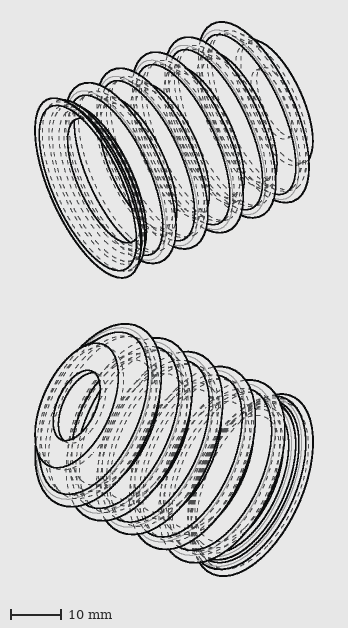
import cadquery as cq
import math

length = 45.0
rim_diameter = 39.0
rim_radius = rim_diameter / 2

ridge_places = [7.8, 15.35, 23.75, 31.55, 39.45]
ridge_radius = 18.4
fold_angle = 42.5
fold_slope = math.tan(math.radians(fold_angle))

mouth_place = 0.0
mouth_inner_radius = 17.9

wall = 1.35
end_wall = wall
end_hole_radius = 7.5

rib_width = 2.3
bead_width = 1.0
beads = [(2.7, 17.0), (1.35, 18.55)]
ring_root_radius = end_hole_radius


def valley_between(place_a, place_b):
    """Return (radius, place) of the outer valley between two ridges."""
    half_gap = (place_b - place_a) / 2
    return (ridge_radius - fold_slope * half_gap, place_a + half_gap)


def outer_folds():
    """Return the zigzag (radius, place) points from the front valley to the last ridge."""
    points = [valley_between(mouth_place, ridge_places[0])]
    for index, place in enumerate(ridge_places):
        if index > 0:
            points.append(valley_between(ridge_places[index - 1], place))
        points.append((ridge_radius, place))
    return points


def radius_behind_last_ridge(place):
    """Return the outer radius of the closing cone behind the last ridge."""
    return ridge_radius - fold_slope * (place - ridge_places[-1])


def turn(sketch):
    """Revolve a closed (radius, place) outline about the Y axis."""
    return sketch.close().revolve(360, (0, 0, 0), (0, 1, 0))


def make_body():
    outline = [(0, mouth_place), (rim_radius, mouth_place)]
    outline += outer_folds()
    outline += [(radius_behind_last_ridge(length), length), (0, length)]
    return turn(cq.Workplane("XY").polyline(outline))


def make_ring(place, radius, width):
    """Ring with straight sides and a half-round outer edge."""
    half = width / 2
    return turn(
        cq.Workplane("XY")
        .moveTo(ring_root_radius, place - half)
        .lineTo(radius - half, place - half)
        .threePointArc((radius, place), (radius - half, place + half))
        .lineTo(ring_root_radius, place + half)
    )


def make_cavity():
    """Inner folds follow the outer ones, one wall thickness inside them."""
    floor = length - end_wall
    outline = [(0, mouth_place), (mouth_inner_radius, mouth_place)]
    outline += [(radius - wall, place) for radius, place in outer_folds()]
    outline += [(radius_behind_last_ridge(floor) - wall, floor), (0, floor)]
    return turn(cq.Workplane("XY").polyline(outline))


def make_end_hole():
    return cq.Workplane("XZ").circle(end_hole_radius).extrude(-length)


result = make_body()
for rib_place in ridge_places:
    result = result.union(make_ring(rib_place, rim_radius, rib_width))
for bead_place, bead_radius in beads:
    result = result.union(make_ring(bead_place, bead_radius, bead_width))
result = result.cut(make_cavity()).cut(make_end_hole())